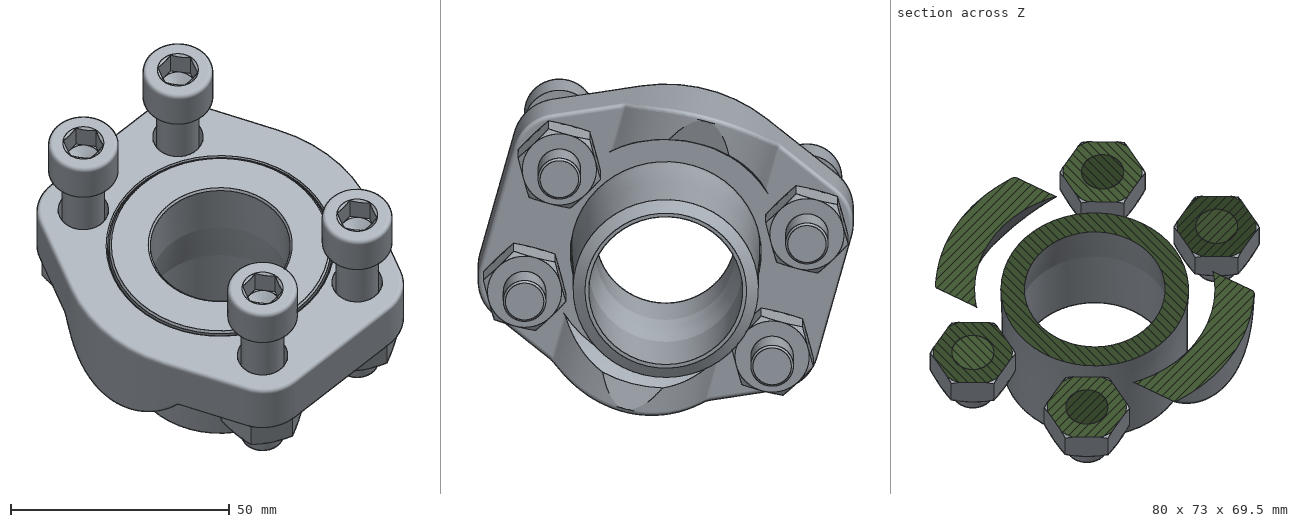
import cadquery as cq
import math


BOLT_X = 29.4
BOLT_Y = 15.1
BOLT_POINTS = [(sx * BOLT_X, sy * BOLT_Y) for sx in (-1, 1) for sy in (-1, 1)]

PLATE_LENGTH = 80.0
PLATE_WIDTH = 73.0
PLATE_THICKNESS = 14.0
EDGE_FILLET = 1.0
BOLT_HOLE_DIA = 11.5
SEAT_DIA = 51.6
SEAT_DEPTH = 8.0
SEAT_CHAMFER = 0.3
NECK_HOLE_DIA = 43.7

LOBE_DEPTH = 23.8
LOBE_RADIUS = 21.8
RELIEF_TOP_DIA = 54.7
RELIEF_BOTTOM_DIA = 59.2
RELIEF_SLOPE_RISE = 1.2
LOBE_ROOT_FILLET = 1.0

INSERT_TOP = 0.5
INSERT_HEIGHT = 45.0
HEAD_DIA = 50.8
HEAD_CHAMFER = 0.5
NECK_DIA = 43.0
TAIL_DIA = 42.4
BORE_DIA = 32.0
TAIL_BORE_DIA = 35.2
BORE_CHAMFER = 0.5
TAPER_TOP = -14.5
BORE_TAPER_TOP = -13.9
TAPER_BOTTOM = -26.3
WELD_BEVEL_WIDTH = 2.7
WELD_BEVEL_HEIGHT = 1.8

SCREW_LENGTH = 45.0
SCREW_HEAD_BOTTOM = 15.0
SCREW_HEAD_DIA = 16.0
SCREW_HEAD_HEIGHT = 10.0
SCREW_HEAD_FILLET = 1.0
SHANK_DIA = 9.8
SHANK_CHAMFER = 0.5
COLLAR_DIA = 10.5
COLLAR_HEIGHT = 0.7
SOCKET_WIDTH = 8.0
SOCKET_DEPTH = 6.0
SOCKET_ROTATION = 37.0
SOCKET_MOUTH_DIA = 9.4
SOCKET_MOUTH_ANGLE = 30.0
SOCKET_CONE_DEPTH = 2.3

NUT_WIDTH = 17.0
NUT_HEIGHT = 8.0
NUT_CHAMFER_ANGLE = 30.0


def corner_diameter(width_across_flats):
    """Across-corners size of a hexagon."""
    return width_across_flats / math.cos(math.radians(30))


def plate_outline():
    """Plate outline: arcs about the bolts and the centre, joined by tangent lines."""
    side_radius = PLATE_WIDTH / 2
    corner_radius = PLATE_LENGTH / 2 - BOLT_X
    tangent_angle = math.atan2(BOLT_Y, BOLT_X) + math.acos(
        (side_radius - corner_radius) / math.hypot(BOLT_X, BOLT_Y)
    )

    def corner_point(angle):
        return BOLT_X + corner_radius * math.cos(angle), BOLT_Y + corner_radius * math.sin(angle)

    flat_end = corner_point(0)
    corner_mid = corner_point(tangent_angle / 2)
    corner_end = corner_point(tangent_angle)
    side_start = (side_radius * math.cos(tangent_angle), side_radius * math.sin(tangent_angle))

    def mirrored(point, sx, sy):
        return sx * point[0], sy * point[1]

    return (
        cq.Workplane("XY")
        .moveTo(*mirrored(flat_end, 1, -1))
        .lineTo(*flat_end)
        .threePointArc(corner_mid, corner_end)
        .lineTo(*side_start)
        .threePointArc((0, side_radius), mirrored(side_start, -1, 1))
        .lineTo(*mirrored(corner_end, -1, 1))
        .threePointArc(mirrored(corner_mid, -1, 1), mirrored(flat_end, -1, 1))
        .lineTo(*mirrored(flat_end, -1, -1))
        .threePointArc(mirrored(corner_mid, -1, -1), mirrored(corner_end, -1, -1))
        .lineTo(*mirrored(side_start, -1, -1))
        .threePointArc((0, -side_radius), mirrored(side_start, 1, -1))
        .lineTo(*mirrored(corner_end, 1, -1))
        .threePointArc(mirrored(corner_mid, 1, -1), mirrored(flat_end, 1, -1))
        .close()
    )


def make_lobe_body():
    """Cylinder along Y trimmed to the plate outline; its lower part forms both lobes."""
    cylinder = (
        cq.Workplane("XZ")
        .center(0, LOBE_RADIUS - LOBE_DEPTH)
        .circle(LOBE_RADIUS)
        .extrude(PLATE_WIDTH / 2, both=True)
    )
    return cylinder.intersect(plate_outline().extrude(-LOBE_DEPTH))


def make_relief():
    """Round clearance under the plate that parts the lobes and slopes their lower faces inward."""
    rim_radius = PLATE_WIDTH / 2 - EDGE_FILLET
    return (
        cq.Workplane("XZ")
        .polyline([
            (0, -PLATE_THICKNESS),
            (RELIEF_TOP_DIA / 2, -PLATE_THICKNESS),
            (RELIEF_BOTTOM_DIA / 2, RELIEF_SLOPE_RISE - LOBE_DEPTH),
            (rim_radius, -LOBE_DEPTH),
            (0, -LOBE_DEPTH),
        ])
        .close()
        .revolve()
    )


def make_flange():
    """Plate with two lobes, four bolt holes and a stepped bore that holds the insert."""
    flange = plate_outline().extrude(-PLATE_THICKNESS).union(make_lobe_body())

    lobe_roots = cq.selectors.BoxSelector(
        (-LOBE_RADIUS, -PLATE_WIDTH / 2, -PLATE_THICKNESS - EDGE_FILLET),
        (LOBE_RADIUS, PLATE_WIDTH / 2, -PLATE_THICKNESS + EDGE_FILLET),
    )
    flange = flange.edges(lobe_roots).edges("|Y").fillet(LOBE_ROOT_FILLET)

    flange = flange.faces("<X").edges("<Z").fillet(EDGE_FILLET)
    flange = flange.faces("<X").edges(">Z").fillet(EDGE_FILLET)

    bolt_holes = (
        cq.Workplane("XY")
        .pushPoints(BOLT_POINTS)
        .circle(BOLT_HOLE_DIA / 2)
        .extrude(-PLATE_THICKNESS)
    )
    seat_radius = SEAT_DIA / 2
    neck_radius = NECK_HOLE_DIA / 2
    stepped_bore = (
        cq.Workplane("XZ")
        .polyline([
            (0, 0),
            (seat_radius + SEAT_CHAMFER, 0),
            (seat_radius, -SEAT_CHAMFER),
            (seat_radius, -SEAT_DEPTH),
            (neck_radius, -SEAT_DEPTH),
            (neck_radius, -PLATE_THICKNESS),
            (0, -PLATE_THICKNESS),
        ])
        .close()
        .revolve()
    )
    return flange.cut(make_relief()).cut(bolt_holes).cut(stepped_bore)


def make_insert():
    """Turned weld insert: flat head on the flange seat, tapered neck and bevelled tail."""
    bottom = INSERT_TOP - INSERT_HEIGHT
    bore_radius = BORE_DIA / 2
    head_radius = HEAD_DIA / 2
    tail_radius = TAIL_DIA / 2
    half_section = [
        (bore_radius, BORE_TAPER_TOP),
        (bore_radius, INSERT_TOP - BORE_CHAMFER),
        (bore_radius + BORE_CHAMFER, INSERT_TOP),
        (head_radius - HEAD_CHAMFER, INSERT_TOP),
        (head_radius, INSERT_TOP - HEAD_CHAMFER),
        (head_radius, -SEAT_DEPTH),
        (NECK_DIA / 2, -SEAT_DEPTH),
        (NECK_DIA / 2, TAPER_TOP),
        (tail_radius, TAPER_BOTTOM),
        (tail_radius, bottom + WELD_BEVEL_HEIGHT),
        (tail_radius - WELD_BEVEL_WIDTH, bottom),
        (TAIL_BORE_DIA / 2, bottom),
        (TAIL_BORE_DIA / 2, TAPER_BOTTOM),
    ]
    return cq.Workplane("XZ").polyline(half_section).close().revolve()


def make_screw(x, y):
    """Socket head cap screw with a small collar under its head."""
    head_top = SCREW_HEAD_BOTTOM + SCREW_HEAD_HEIGHT
    tip = SCREW_HEAD_BOTTOM - SCREW_LENGTH
    head = (
        cq.Workplane("XY", origin=(0, 0, SCREW_HEAD_BOTTOM))
        .circle(SCREW_HEAD_DIA / 2)
        .extrude(SCREW_HEAD_HEIGHT)
        .faces(">Z")
        .edges()
        .fillet(SCREW_HEAD_FILLET)
    )
    shank = (
        cq.Workplane("XY", origin=(0, 0, tip))
        .circle(SHANK_DIA / 2)
        .extrude(SCREW_LENGTH)
        .faces("<Z")
        .edges()
        .chamfer(SHANK_CHAMFER)
    )
    collar = cq.Solid.makeCone(
        SHANK_DIA / 2,
        COLLAR_DIA / 2,
        COLLAR_HEIGHT,
        pnt=cq.Vector(0, 0, SCREW_HEAD_BOTTOM - COLLAR_HEIGHT),
    )

    socket_floor = head_top - SOCKET_DEPTH
    socket_corner_dia = corner_diameter(SOCKET_WIDTH)
    socket = (
        cq.Workplane("XY", origin=(0, 0, socket_floor))
        .polygon(6, socket_corner_dia)
        .extrude(SOCKET_DEPTH)
        .rotate((0, 0, 0), (0, 0, 1), SOCKET_ROTATION)
    )
    floor_cone = cq.Solid.makeCone(
        0,
        SOCKET_WIDTH / 2,
        SOCKET_CONE_DEPTH,
        pnt=cq.Vector(0, 0, socket_floor - SOCKET_CONE_DEPTH),
    )
    mouth_depth = (SOCKET_MOUTH_DIA - SOCKET_WIDTH) / 2 * math.tan(math.radians(SOCKET_MOUTH_ANGLE))
    mouth = cq.Solid.makeCone(
        SOCKET_WIDTH / 2,
        SOCKET_MOUTH_DIA / 2,
        mouth_depth,
        pnt=cq.Vector(0, 0, head_top - mouth_depth),
    )
    screw = shank.union(head).union(collar).cut(socket).cut(floor_cone).cut(mouth)
    return screw.translate((x, y, 0))


def make_nut(x, y):
    """Hexagon nut against the underside of the plate, with both ends chamfered."""
    flat_radius = NUT_WIDTH / 2
    corner_radius = corner_diameter(NUT_WIDTH) / 2
    chamfer_height = (corner_radius - flat_radius) * math.tan(math.radians(NUT_CHAMFER_ANGLE))
    bottom = -PLATE_THICKNESS - NUT_HEIGHT
    hexagon = (
        cq.Workplane("XY", origin=(0, 0, bottom))
        .polygon(6, 2 * corner_radius)
        .circle(SHANK_DIA / 2)
        .extrude(NUT_HEIGHT)
    )
    chamfered_blank = (
        cq.Workplane("XZ")
        .polyline([
            (0, bottom),
            (flat_radius, bottom),
            (corner_radius, bottom + chamfer_height),
            (corner_radius, -PLATE_THICKNESS - chamfer_height),
            (flat_radius, -PLATE_THICKNESS),
            (0, -PLATE_THICKNESS),
        ])
        .close()
        .revolve()
    )
    return hexagon.intersect(chamfered_blank).translate((x, y, 0))


flange = make_flange()
insert = make_insert()
screws = [make_screw(x, y) for x, y in BOLT_POINTS]
nuts = [make_nut(x, y) for x, y in BOLT_POINTS]

result = cq.Compound.makeCompound(
    [flange.val(), insert.val()]
    + [screw.val() for screw in screws]
    + [nut.val() for nut in nuts]
)